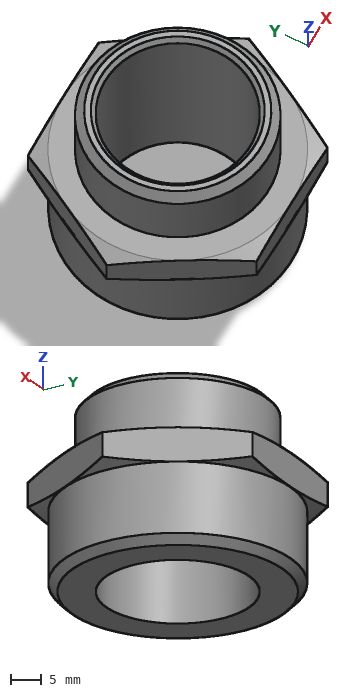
import cadquery as cq
import math

lower_height = 14.0
hex_height = 6.0
upper_height = 12.0
hex_bottom = lower_height
hex_top = hex_bottom + hex_height
total_height = hex_top + upper_height

lower_diameter = 41.91
upper_diameter = 33.25
bore_diameter = 26.5
hex_across_flats = 42.0
hex_across_corners = hex_across_flats / math.cos(math.radians(30))

end_chamfer = 1.5
bore_chamfer = 0.8
hex_chamfer_angle = 15.0


def make_lower_spigot():
    """Large cylinder with its bottom rim chamfered."""
    spigot = cq.Workplane("XY").circle(lower_diameter / 2).extrude(lower_height)
    return spigot.faces("<Z").chamfer(end_chamfer)


def make_upper_spigot():
    """Small cylinder with its top rim chamfered."""
    spigot = (
        cq.Workplane("XY")
        .workplane(offset=hex_top)
        .circle(upper_diameter / 2)
        .extrude(upper_height)
    )
    return spigot.faces(">Z").chamfer(end_chamfer)


def make_hex_collar():
    """Hexagon with corners on the X axis, trimmed by a shallow cone above and below."""
    hexagon = (
        cq.Workplane("XY")
        .workplane(offset=hex_bottom)
        .polygon(6, hex_across_corners)
        .extrude(hex_height)
    )
    face_radius = hex_across_flats / 2
    corner_radius = hex_across_corners / 2
    corner_drop = (corner_radius - face_radius) * math.tan(math.radians(hex_chamfer_angle))
    envelope = (
        cq.Workplane("XZ")
        .moveTo(0, hex_bottom)
        .lineTo(face_radius, hex_bottom)
        .lineTo(corner_radius, hex_bottom + corner_drop)
        .lineTo(corner_radius, hex_top - corner_drop)
        .lineTo(face_radius, hex_top)
        .lineTo(0, hex_top)
        .close()
        .revolve(360, (0, 0, 0), (0, 1, 0))
    )
    return hexagon.intersect(envelope)


def make_bore():
    """Through bore that opens out in a chamfer at the top."""
    bore_radius = bore_diameter / 2
    mouth_radius = bore_radius + bore_chamfer
    return (
        cq.Workplane("XZ")
        .lineTo(bore_radius, 0)
        .lineTo(bore_radius, total_height - bore_chamfer)
        .lineTo(mouth_radius, total_height)
        .lineTo(0, total_height)
        .close()
        .revolve(360, (0, 0, 0), (0, 1, 0))
    )


body = make_lower_spigot().union(make_hex_collar()).union(make_upper_spigot())
result = body.cut(make_bore())